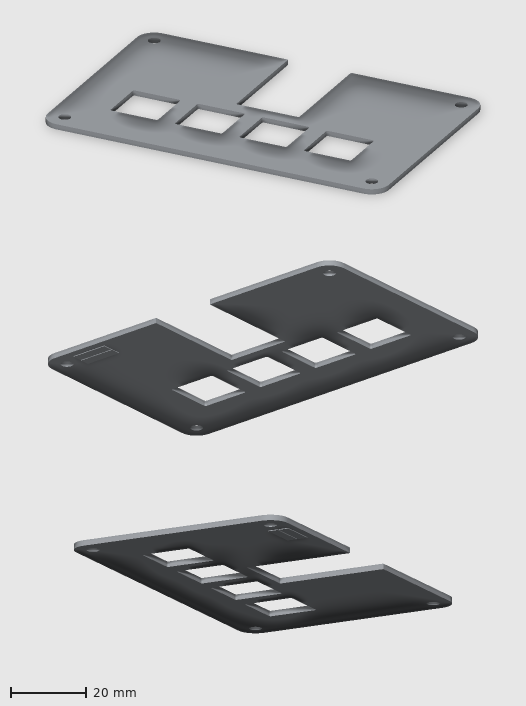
import cadquery as cq

length = 101.0
width = 63.6
thickness = 1.5
corner_radius = 5.0

screw_hole_diameter = 3.4

notch_width = 18.6
notch_depth = 31.1
notch_center_x = 1.0

window_count = 4
window_size = 14.0
window_pitch = 19.1
window_corner_radius = 0.5
window_row_x = -0.9
window_row_y = -10.6

total_height = 1.7
band_height = total_height - thickness
band_length = 10.7
band_width = 2.8
band_pitch = 3.1
band_center_x = 35.4
upper_band_y = 28.2


def make_plate():
    """Rounded plate with its underside at Z = 0."""
    plate = cq.Workplane("XY").rect(length, width).extrude(thickness)
    return plate.edges("|Z").fillet(corner_radius)


def make_screw_holes():
    """Cutters for the four corner holes."""
    spacing_x = length - 2 * corner_radius
    spacing_y = width - 2 * corner_radius
    corners = cq.Workplane("XY").rect(spacing_x, spacing_y, forConstruction=True).vertices()
    return corners.circle(screw_hole_diameter / 2).extrude(thickness)


def make_notch():
    """Cutter for the rectangular notch in the +Y edge."""
    center_y = width / 2 - notch_depth / 2
    notch = cq.Workplane("XY").center(notch_center_x, center_y)
    return notch.rect(notch_width, notch_depth).extrude(thickness)


def make_windows():
    """Cutters for the row of square windows."""
    row = cq.Workplane("XY").center(window_row_x, window_row_y)
    row = row.rarray(window_pitch, 1, window_count, 1)
    windows = row.rect(window_size, window_size).extrude(thickness)
    return windows.edges("|Z").fillet(window_corner_radius)


def make_bands():
    """Two parallel bands hanging below the plate."""
    row_center_y = upper_band_y - band_pitch / 2
    bands = cq.Workplane("XY").center(band_center_x, row_center_y)
    bands = bands.rarray(1, band_pitch, 1, 2)
    return bands.rect(band_length, band_width).extrude(-band_height)


result = (
    make_plate()
    .cut(make_screw_holes())
    .cut(make_notch())
    .cut(make_windows())
    .union(make_bands())
)